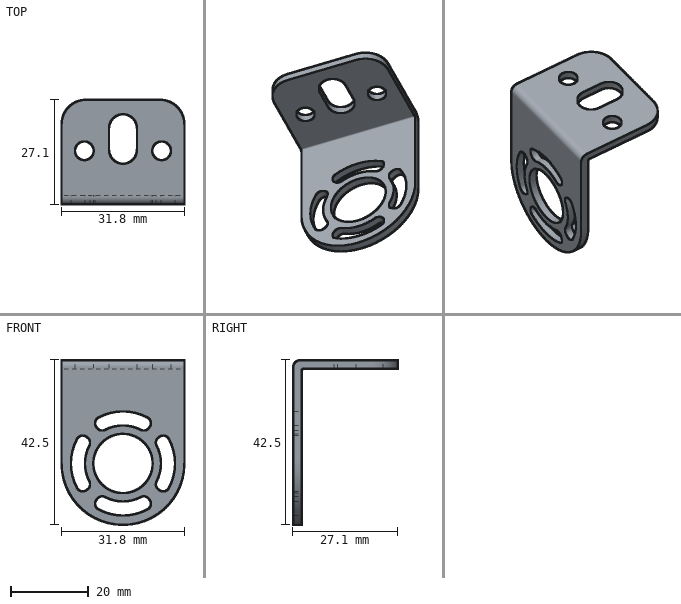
import cadquery as cq
import math


width = 31.75
depth = 27.05
height = 42.55
thickness = 2.286

bend_outer_radius = 1.905
bend_inner_radius = 0.381

end_radius = width / 2
bore_diameter = 15.24
slot_count = 4
slot_ring_radius = 11.62
slot_width = 3.556
slot_half_angle = 36.0
slot_corner_radius = 1.6

corner_radius = 6.35
hole_diameter = 4.7625
hole_spacing = 19.939
hole_from_back = 13.208
flange_slot_width = 7.112
flange_slot_length = 12.7
flange_slot_from_back = 10.16

top_z = height - end_radius


def bent_strip():
    """L-shaped profile across the full width, rounded at the bend."""
    profile = [
        (0, -end_radius),
        (0, top_z),
        (depth, top_z),
        (depth, top_z - thickness),
        (thickness, top_z - thickness),
        (thickness, -end_radius),
    ]
    strip = cq.Workplane("YZ").polyline(profile).close().extrude(width / 2, both=True)
    outer_bend = cq.selectors.NearestToPointSelector((0, 0, top_z))
    inner_bend = cq.selectors.NearestToPointSelector((0, thickness, top_z - thickness))
    strip = strip.edges("|X").edges(outer_bend).fillet(bend_outer_radius)
    return strip.edges("|X").edges(inner_bend).fillet(bend_inner_radius)


def leg_outline():
    """Block covering the whole depth, with the round lower end of the upright leg."""
    return (
        cq.Workplane("XZ")
        .moveTo(-width / 2, top_z)
        .lineTo(-width / 2, 0)
        .threePointArc((0, -end_radius), (width / 2, 0))
        .lineTo(width / 2, top_z)
        .close()
        .extrude(-depth)
    )


def ring_point(radius, degrees):
    """Point on a circle about the bore axis, as (X, Z)."""
    angle = math.radians(degrees)
    return (radius * math.cos(angle), radius * math.sin(angle))


def curved_slot(middle_angle):
    """Cutter for one slot: a ring sector with flat radial ends and rounded corners."""
    start = middle_angle - slot_half_angle
    end = middle_angle + slot_half_angle
    inner_radius = slot_ring_radius - slot_width / 2
    outer_radius = slot_ring_radius + slot_width / 2
    sector = (
        cq.Workplane("XZ")
        .moveTo(*ring_point(outer_radius, start))
        .threePointArc(ring_point(outer_radius, middle_angle), ring_point(outer_radius, end))
        .lineTo(*ring_point(inner_radius, end))
        .threePointArc(ring_point(inner_radius, middle_angle), ring_point(inner_radius, start))
        .close()
        .extrude(-thickness)
    )
    return sector.edges("|Y").fillet(slot_corner_radius)


def bore():
    """Cutter for the large round opening in the upright leg."""
    return cq.Workplane("XZ").circle(bore_diameter / 2).extrude(-thickness)


def flange_openings():
    """Cutter for the two round holes and the central slot in the flange."""
    hole_y = depth - hole_from_back
    slot_y = depth - flange_slot_from_back
    flange_plane = cq.Workplane("XY").workplane(offset=top_z)
    holes = (
        flange_plane.pushPoints([(-hole_spacing / 2, hole_y), (hole_spacing / 2, hole_y)])
        .circle(hole_diameter / 2)
        .extrude(-thickness)
    )
    slot = (
        flange_plane.center(0, slot_y)
        .slot2D(flange_slot_length, flange_slot_width, 90)
        .extrude(-thickness)
    )
    return holes.union(slot)


bracket = bent_strip().intersect(leg_outline())
bracket = bracket.faces(">Y").edges("|Z").fillet(corner_radius)
bracket = bracket.cut(bore())
for slot_index in range(slot_count):
    bracket = bracket.cut(curved_slot(slot_index * 360 / slot_count))
bracket = bracket.cut(flange_openings())

result = bracket